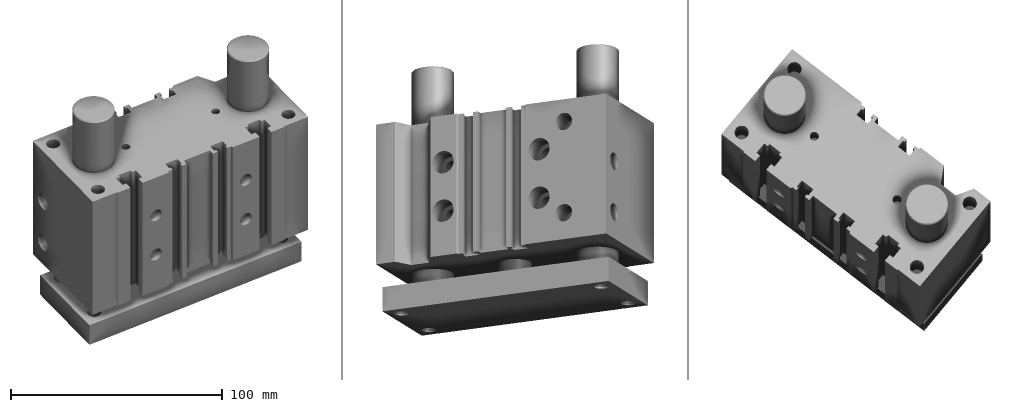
import cadquery as cq
import math

total_height = 122.0

housing_width = 54.0
housing_length = 120.0
housing_height = 69.0
housing_bottom = 22.0
housing_top = housing_bottom + housing_height
side_x = housing_width / 2
end_y = housing_length / 2

relief_depth = 0.5
relief_start_y = 46.5

plate_width = 44.0
plate_length = 118.0
plate_thickness = 12.0
plate_hole_diameter = 6.7
plate_hole_spacing_x = 30.0
plate_hole_spacing_y = 104.0
guide_rod_diameter = 20.0
guide_rod_spacing = 86.0
guide_rod_chamfer = 0.5
piston_rod_diameter = 16.0

corner_hole_diameter = 6.7
corner_hole_spacing_x = 40.0
corner_hole_spacing_y = 106.0
corner_hole_depth = 16.0

top_hole_diameter = 4.3
top_hole_depth = 10.0

cross_hole_spacing = 50.0
cross_hole_heights = (44.0, 68.0)
cross_hole_diameter = 6.7
counterbore_diameter = 11.0
counterbore_depth = 10.0

port_diameter = 8.5
port_depth = 12.0
side_port_y = -38.0
side_port_heights = (35.0, 80.0)
end_port_x = -18.0
end_port_heights = (35.0, 60.0)

groove_y = 40.9
groove_floor = 9.0
groove_depth = 8.0
groove_flank_angle = 30.0

step_depth = 1.0
step_half_length = 17.9
step_flank_angle = 30.0
channel_width = 14.5
channel_depth = 3.8
sensor_slot_y = 12.6
sensor_slot_mouth = 5.1
sensor_slot_inner = 7.0
sensor_slot_lip = 1.6
sensor_slot_depth = 6.3

t_slot_y = 35.9
t_slot_mouth = 6.7
t_slot_head = 10.9
t_slot_lip = 3.7
t_slot_head_depth = 9.5
t_slot_depth = 10.9


def side_box(side, y, width, start, end):
    """Full-height cutter between two depths below the side face (-1 for -X, +1 for +X)."""
    thickness = end - start
    center_x = side * (side_x - start - thickness / 2)
    return (
        cq.Workplane("XY", origin=(center_x, y, housing_bottom))
        .rect(thickness, width)
        .extrude(housing_height)
    )


def side_trapezoid(side, y, outer_half, depth, flank_angle):
    """Full-height cutter that narrows inward from the side face, flanks tilted from the X axis."""
    inner_half = outer_half - depth * math.tan(math.radians(flank_angle))
    face_x = side * side_x
    floor_x = side * (side_x - depth)
    return (
        cq.Workplane("XY", origin=(0, 0, housing_bottom))
        .polyline([
            (face_x, y - outer_half),
            (face_x, y + outer_half),
            (floor_x, y + inner_half),
            (floor_x, y - inner_half),
        ])
        .close()
        .extrude(housing_height)
    )


def cut_middle_section(body, side):
    body = body.cut(side_trapezoid(side, 0, step_half_length, step_depth, step_flank_angle))
    body = body.cut(side_box(side, 0, channel_width, 0, channel_depth))
    lip_end = step_depth + sensor_slot_lip
    for y in (-sensor_slot_y, sensor_slot_y):
        body = body.cut(side_box(side, y, sensor_slot_mouth, 0, sensor_slot_depth))
        body = body.cut(side_box(side, y, sensor_slot_inner, lip_end, sensor_slot_depth))
    return body


def cut_v_groove(body):
    outer_half = groove_floor / 2 + groove_depth * math.tan(math.radians(groove_flank_angle))
    return body.cut(side_trapezoid(-1, groove_y, outer_half, groove_depth, groove_flank_angle))


def cut_t_slots(body):
    for y in (-t_slot_y, t_slot_y):
        body = body.cut(side_box(1, y, t_slot_mouth, 0, t_slot_depth))
        body = body.cut(side_box(1, y, t_slot_head, t_slot_lip, t_slot_head_depth))
    return body


def cut_end_reliefs(body):
    length = end_y - relief_start_y
    center_y = end_y - length / 2
    for y in (-center_y, center_y):
        body = body.cut(side_box(1, y, length, 0, relief_depth))
    return body


def cut_top_holes(body):
    top = cq.Workplane("XY", origin=(0, 0, housing_top))
    corner_holes = (
        top.rect(corner_hole_spacing_x, corner_hole_spacing_y, forConstruction=True)
        .vertices()
        .circle(corner_hole_diameter / 2)
        .extrude(-corner_hole_depth)
    )
    center_holes = (
        top.pushPoints([(0, -cross_hole_spacing / 2), (0, cross_hole_spacing / 2)])
        .circle(top_hole_diameter / 2)
        .extrude(-top_hole_depth)
    )
    return body.cut(corner_holes).cut(center_holes)


def cut_cross_holes(body):
    side_face = cq.Workplane("YZ", origin=(-side_x, 0, 0))
    places = [(y, z) for y in (-cross_hole_spacing / 2, cross_hole_spacing / 2) for z in cross_hole_heights]
    holes = side_face.pushPoints(places).circle(cross_hole_diameter / 2).extrude(housing_width)
    counterbores = side_face.pushPoints(places).circle(counterbore_diameter / 2).extrude(counterbore_depth)
    return body.cut(holes).cut(counterbores)


def cut_ports(body):
    side_ports = (
        cq.Workplane("YZ", origin=(-side_x, 0, 0))
        .pushPoints([(side_port_y, z) for z in side_port_heights])
        .circle(port_diameter / 2)
        .extrude(port_depth)
    )
    end_ports = (
        cq.Workplane("XZ", origin=(0, -end_y, 0))
        .pushPoints([(end_port_x, z) for z in end_port_heights])
        .circle(port_diameter / 2)
        .extrude(-port_depth)
    )
    return body.cut(side_ports).cut(end_ports)


def cut_guide_bores(body):
    bores = (
        cq.Workplane("XY", origin=(0, 0, housing_bottom))
        .pushPoints([(0, -guide_rod_spacing / 2), (0, guide_rod_spacing / 2)])
        .circle(guide_rod_diameter / 2)
        .extrude(housing_height)
    )
    return body.cut(bores)


def make_housing():
    body = (
        cq.Workplane("XY", origin=(0, 0, housing_bottom))
        .rect(housing_width, housing_length)
        .extrude(housing_height)
    )
    for side in (-1, 1):
        body = cut_middle_section(body, side)
    body = cut_v_groove(body)
    body = cut_t_slots(body)
    body = cut_end_reliefs(body)
    body = cut_top_holes(body)
    body = cut_cross_holes(body)
    body = cut_ports(body)
    return cut_guide_bores(body)


def make_guide_rod(y):
    return (
        cq.Workplane("XY", origin=(0, y, plate_thickness))
        .circle(guide_rod_diameter / 2)
        .extrude(total_height - plate_thickness)
        .faces(">Z")
        .chamfer(guide_rod_chamfer)
    )


def make_moving_assembly():
    """Tool plate with its guide rods; the piston rod meets the underside of the housing."""
    body = cq.Workplane("XY").rect(plate_width, plate_length).extrude(plate_thickness)
    plate_holes = (
        cq.Workplane("XY")
        .rect(plate_hole_spacing_x, plate_hole_spacing_y, forConstruction=True)
        .vertices()
        .circle(plate_hole_diameter / 2)
        .extrude(plate_thickness)
    )
    body = body.cut(plate_holes)
    for y in (-guide_rod_spacing / 2, guide_rod_spacing / 2):
        body = body.union(make_guide_rod(y))
    piston_rod = (
        cq.Workplane("XY", origin=(0, 0, plate_thickness))
        .circle(piston_rod_diameter / 2)
        .extrude(housing_bottom - plate_thickness)
    )
    return body.union(piston_rod)


housing = make_housing()
moving_assembly = make_moving_assembly()

result = cq.Compound.makeCompound([housing.val(), moving_assembly.val()])